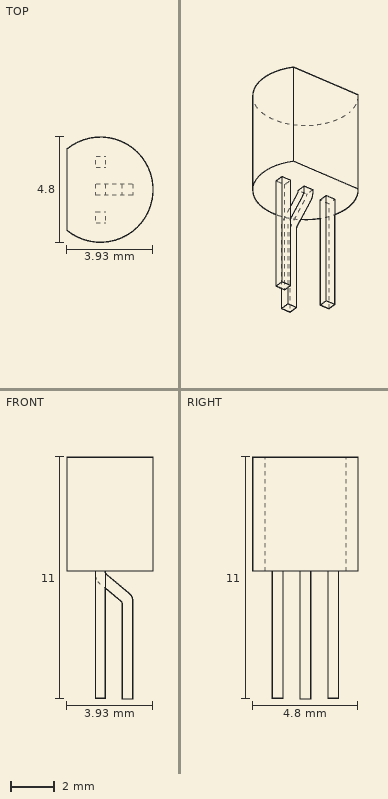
import cadquery as cq
import math

total_height = 11.02
body_height = 5.19
body_radius = 2.4
flat_offset = 1.53

lead_pitch = 1.27
lead_width = 0.5
outer_lead_thickness = 0.45
outer_lead_shortfall = 0.03
middle_leg_thickness = 0.5
middle_lead_offset = 1.23
bend_angle = 40.0
outer_bend_radius = 0.44
inner_bend_radius = 0.17

upper_outer_corner = 0.4
upper_inner_corner = 0.1

lead_length = total_height - body_height


def make_body():
    cylinder = cq.Workplane("XY").circle(body_radius).extrude(body_height)
    keep = cq.Workplane("XY").box(
        flat_offset + body_radius, 2 * body_radius, body_height, centered=(False, True, False)
    ).translate((-flat_offset, 0, 0))
    return cylinder.intersect(keep)


def make_outer_lead(y):
    length = lead_length - outer_lead_shortfall
    return (
        cq.Workplane("XY")
        .center(0, y)
        .rect(outer_lead_thickness, lead_width)
        .extrude(-length)
    )


def make_middle_lead():
    front = outer_lead_thickness / 2
    back = -front
    leg_front = middle_lead_offset + middle_leg_thickness / 2
    leg_back = leg_front - middle_leg_thickness
    slope = math.tan(math.radians(bend_angle))
    lower_outer = (leg_front, -upper_inner_corner - slope * (leg_front - front))
    lower_inner = (leg_back, -upper_outer_corner - slope * (leg_back - back))
    lead = (
        cq.Workplane("XZ")
        .moveTo(back, 0)
        .lineTo(front, 0)
        .lineTo(front, -upper_inner_corner)
        .lineTo(*lower_outer)
        .lineTo(leg_front, -lead_length)
        .lineTo(leg_back, -lead_length)
        .lineTo(*lower_inner)
        .lineTo(back, -upper_outer_corner)
        .close()
        .extrude(lead_width / 2, both=True)
    )
    bends = (
        (back, -upper_outer_corner, outer_bend_radius),
        (front, -upper_inner_corner, inner_bend_radius),
        (*lower_outer, outer_bend_radius),
        (*lower_inner, inner_bend_radius),
    )
    for x, z, radius in bends:
        lead = lead.edges(cq.NearestToPointSelector((x, 0, z))).fillet(radius)
    return lead


result = make_body().union(make_middle_lead())
for side in (-1, 1):
    result = result.union(make_outer_lead(side * lead_pitch))